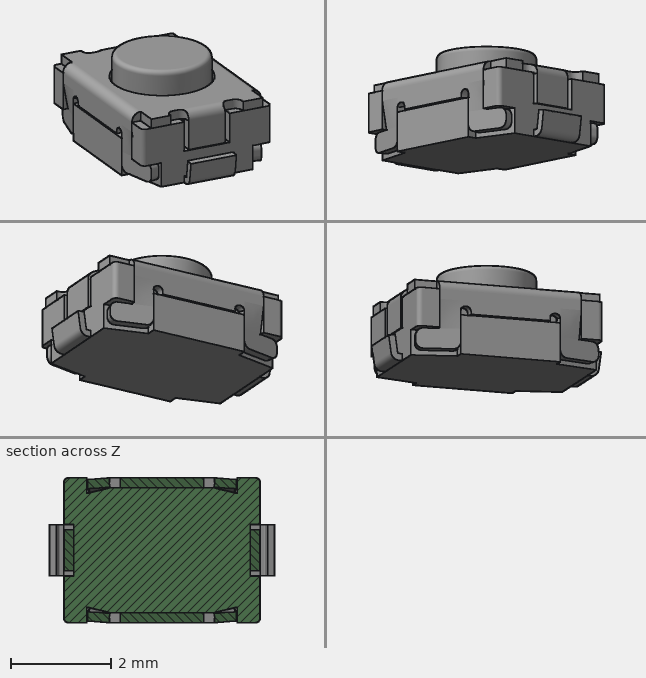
import cadquery as cq
import math

OVERALL_LENGTH = 4.5
BODY_LENGTH = 3.92
BODY_WIDTH = 2.9
OVERALL_HEIGHT = 2.0
COVER_TOP = 1.5
SHEET = 0.2

BUTTON_DIAMETER = 2.0
BUTTON_EDGE_RADIUS = 0.1
BUTTON_HOLE_DIAMETER = 2.1

PANEL_HALF_LENGTH = 1.5
PANEL_BOTTOM = 0.83
LEG_INNER_X = 1.055
TWIST_TOP = 1.095
LEG_ANGLE = 13.5
FOOT_LENGTH = 0.91
FOOT_TOP = 0.515
FOOT_BOTTOM = 0.1
FOOT_CORNER_RADIUS = 0.15
NOTCH_WIDTH = 0.215
NOTCH_TOP = 0.985
END_TAB_WIDTH = 0.82
END_TAB_BOTTOM = 0.69
RELIEF_WIDTH = 0.4
RELIEF_CORNER_RADIUS = 0.15

BLOCK_TOP = 0.8
GROOVE_WIDTH = 1.02
GROOVE_BOTTOM = 0.675
POST_CORNER_RADIUS = 0.1

TERMINAL_WIDTH = 1.02
TERMINAL_SHEET = 0.14
TERMINAL_TIP_Z = 0.505
TERMINAL_TILT = 8.0
TERMINAL_INNER_RADIUS = 0.025

HOUSING_TOP = COVER_TOP - SHEET
HALF_LENGTH = BODY_LENGTH / 2
HALF_WIDTH = BODY_WIDTH / 2
PANEL_INNER_Y = HALF_WIDTH - SHEET
END_TAB_INNER_X = HALF_LENGTH - SHEET
LEG_WIDTH = PANEL_HALF_LENGTH - LEG_INNER_X
LEG_COS = math.cos(math.radians(LEG_ANGLE))
LEG_SIN = math.sin(math.radians(LEG_ANGLE))


def box(x_min, x_max, y_min, y_max, z_min, z_max):
    """Axis-aligned block between the given limits."""
    return (
        cq.Workplane("XY")
        .box(x_max - x_min, y_max - y_min, z_max - z_min, centered=False)
        .translate((x_min, y_min, z_min))
    )


def at_four_corners(shape):
    """The shape, drawn in the +X +Y quarter, and its mirror images in the other quarters."""
    pair = shape.union(shape.mirror("YZ"))
    return pair.union(pair.mirror("XZ"))


def leg_outline(along, inward):
    """Point on the turned leg, from its outer edge next to the housing block."""
    return (
        LEG_INNER_X + along * LEG_COS - inward * LEG_SIN,
        HALF_WIDTH - along * LEG_SIN - inward * LEG_COS,
    )


def make_twist():
    """Part of the leg that turns from the panel direction to the foot direction."""
    straight_end = [
        (LEG_INNER_X, HALF_WIDTH),
        (PANEL_HALF_LENGTH, HALF_WIDTH),
        (PANEL_HALF_LENGTH, PANEL_INNER_Y),
        (LEG_INNER_X, PANEL_INNER_Y),
    ]
    turned_end = [
        leg_outline(0, 0),
        leg_outline(LEG_WIDTH, 0),
        leg_outline(LEG_WIDTH, SHEET),
        leg_outline(0, SHEET),
    ]
    return (
        cq.Workplane("XY")
        .workplane(offset=FOOT_TOP)
        .polyline(turned_end)
        .close()
        .workplane(offset=TWIST_TOP - FOOT_TOP)
        .polyline(straight_end)
        .close()
        .loft(ruled=True)
    )


def make_foot():
    """Wide turned foot, rounded at all corners except the one next to the leg root."""
    foot = box(0, FOOT_LENGTH, -SHEET, 0, FOOT_BOTTOM, FOOT_TOP)
    foot = foot.edges("|Y").edges(">X or <Z").fillet(FOOT_CORNER_RADIUS)
    foot = foot.rotate((0, 0, 0), (0, 0, 1), -LEG_ANGLE)
    return foot.translate((LEG_INNER_X, HALF_WIDTH, 0))


def make_leg():
    """Twist and foot that continue the end of a side panel downward."""
    return make_twist().union(make_foot())


def make_panel_notch():
    """Round-topped relief between the side panel and a leg."""
    radius = NOTCH_WIDTH / 2
    slot = box(
        LEG_INNER_X - NOTCH_WIDTH, LEG_INNER_X, PANEL_INNER_Y, HALF_WIDTH, PANEL_BOTTOM, NOTCH_TOP - radius
    )
    round_top = (
        cq.Workplane("XZ")
        .center(LEG_INNER_X - radius, NOTCH_TOP - radius)
        .circle(radius)
        .extrude(-HALF_WIDTH)
    )
    return slot.union(round_top)


def make_bend_relief():
    """Rounded slot through the top sheet beside an end tab."""
    tab_edge = END_TAB_WIDTH / 2
    relief = box(
        END_TAB_INNER_X, HALF_LENGTH, tab_edge, tab_edge + RELIEF_WIDTH, HOUSING_TOP, COVER_TOP
    )
    return relief.edges("|Z and <X").fillet(RELIEF_CORNER_RADIUS)


def make_cover():
    """Bent sheet cover over the housing."""
    top = box(-HALF_LENGTH, HALF_LENGTH, -PANEL_INNER_Y, PANEL_INNER_Y, HOUSING_TOP, COVER_TOP)

    panels = box(
        -PANEL_HALF_LENGTH, PANEL_HALF_LENGTH, -HALF_WIDTH, HALF_WIDTH, PANEL_BOTTOM, COVER_TOP
    )
    panels = panels.edges("|X and >Z").fillet(SHEET)
    panels = panels.cut(
        box(-HALF_LENGTH, HALF_LENGTH, -PANEL_INNER_Y, PANEL_INNER_Y, 0, HOUSING_TOP)
    )
    below_twist = box(
        LEG_INNER_X, PANEL_HALF_LENGTH, PANEL_INNER_Y, HALF_WIDTH, PANEL_BOTTOM, TWIST_TOP
    )
    panels = panels.cut(at_four_corners(below_twist)).cut(at_four_corners(make_panel_notch()))

    tab_half = END_TAB_WIDTH / 2
    tabs = box(-HALF_LENGTH, HALF_LENGTH, -tab_half, tab_half, END_TAB_BOTTOM, HOUSING_TOP)
    tabs = tabs.cut(
        box(-END_TAB_INNER_X, END_TAB_INNER_X, -tab_half, tab_half, 0, HOUSING_TOP)
    )

    bend_half = tab_half + RELIEF_WIDTH / 2
    bend_zone = box(END_TAB_INNER_X, HALF_LENGTH, -bend_half, bend_half, HOUSING_TOP, COVER_TOP)
    bend_core = cq.Workplane("XZ", origin=(END_TAB_INNER_X, bend_half, HOUSING_TOP))
    bend_core = bend_core.circle(SHEET).extrude(2 * bend_half)
    bend_waste = bend_zone.cut(bend_core)
    top = top.cut(bend_waste).cut(bend_waste.mirror("YZ"))
    top = top.cut(at_four_corners(make_bend_relief()))

    cover = top.union(panels).union(tabs).union(at_four_corners(make_leg()))
    button_hole = cq.Workplane("XY").circle(BUTTON_HOLE_DIAMETER / 2).extrude(COVER_TOP)
    return cover.cut(button_hole).clean()


def make_leg_pocket(x_end, z_top):
    """Corner pocket with a slanted back wall that lies against the turned leg."""
    back_start_y = HALF_WIDTH - SHEET / LEG_COS
    slope = LEG_SIN / LEG_COS
    outline = [
        (LEG_INNER_X, HALF_WIDTH),
        (x_end, HALF_WIDTH),
        (x_end, back_start_y - slope * (x_end - LEG_INNER_X)),
        (LEG_INNER_X, back_start_y),
    ]
    return cq.Workplane("XY").polyline(outline).close().extrude(z_top)


def make_housing(cover):
    """Moulded base with corner posts, side blocks and seats for the cover."""
    housing = box(-HALF_LENGTH, HALF_LENGTH, -HALF_WIDTH, HALF_WIDTH, 0, HOUSING_TOP)
    housing = housing.edges("|Z").fillet(POST_CORNER_RADIUS)

    for y_min, y_max in ((PANEL_INNER_Y, HALF_WIDTH), (-HALF_WIDTH, -PANEL_INNER_Y)):
        housing = housing.cut(
            box(-PANEL_HALF_LENGTH, PANEL_HALF_LENGTH, y_min, y_max, BLOCK_TOP, HOUSING_TOP)
        )

    groove_half = GROOVE_WIDTH / 2
    for x_min, x_max in ((END_TAB_INNER_X, HALF_LENGTH), (-HALF_LENGTH, -END_TAB_INNER_X)):
        housing = housing.cut(
            box(x_min, x_max, -groove_half, groove_half, GROOVE_BOTTOM, HOUSING_TOP)
        )

    housing = housing.cut(at_four_corners(make_leg_pocket(HALF_LENGTH, FOOT_TOP)))
    housing = housing.cut(at_four_corners(make_leg_pocket(PANEL_HALF_LENGTH, TWIST_TOP)))
    return housing.cut(cover).clean()


def make_button():
    """Round push button standing on the housing."""
    button = cq.Workplane("XY").workplane(offset=HOUSING_TOP).circle(BUTTON_DIAMETER / 2)
    button = button.extrude(OVERALL_HEIGHT - HOUSING_TOP)
    return button.faces(">Z").edges().fillet(BUTTON_EDGE_RADIUS)


def make_terminal():
    """Bent terminal at the +X end of the housing."""
    tilt = math.radians(TERMINAL_TILT)
    tip_x = OVERALL_LENGTH / 2
    heel_x = tip_x - TERMINAL_TIP_Z * math.tan(tilt)
    inner_heel_x = heel_x + TERMINAL_SHEET * math.tan(tilt) - TERMINAL_SHEET / math.cos(tilt)
    outline = [
        (HALF_LENGTH, 0),
        (heel_x, 0),
        (tip_x, TERMINAL_TIP_Z),
        (tip_x - TERMINAL_SHEET * math.cos(tilt), TERMINAL_TIP_Z + TERMINAL_SHEET * math.sin(tilt)),
        (inner_heel_x, TERMINAL_SHEET),
        (HALF_LENGTH, TERMINAL_SHEET),
    ]
    terminal = cq.Workplane("XZ").polyline(outline).close().extrude(TERMINAL_WIDTH / 2, both=True)
    terminal = terminal.edges(cq.NearestToPointSelector((inner_heel_x, 0, TERMINAL_SHEET)))
    terminal = terminal.fillet(TERMINAL_INNER_RADIUS)
    terminal = terminal.edges(cq.NearestToPointSelector((heel_x, 0, 0)))
    return terminal.fillet(TERMINAL_INNER_RADIUS + TERMINAL_SHEET)


cover = make_cover()
housing = make_housing(cover)
button = make_button()
terminals = []
for turn in (0, 180):
    terminals.append(make_terminal().rotate((0, 0, 0), (0, 0, 1), turn))

result = cq.Compound.makeCompound(
    [
        housing.solids().val(),
        cover.solids().val(),
        button.val(),
        *[terminal.solids().val() for terminal in terminals],
    ]
)